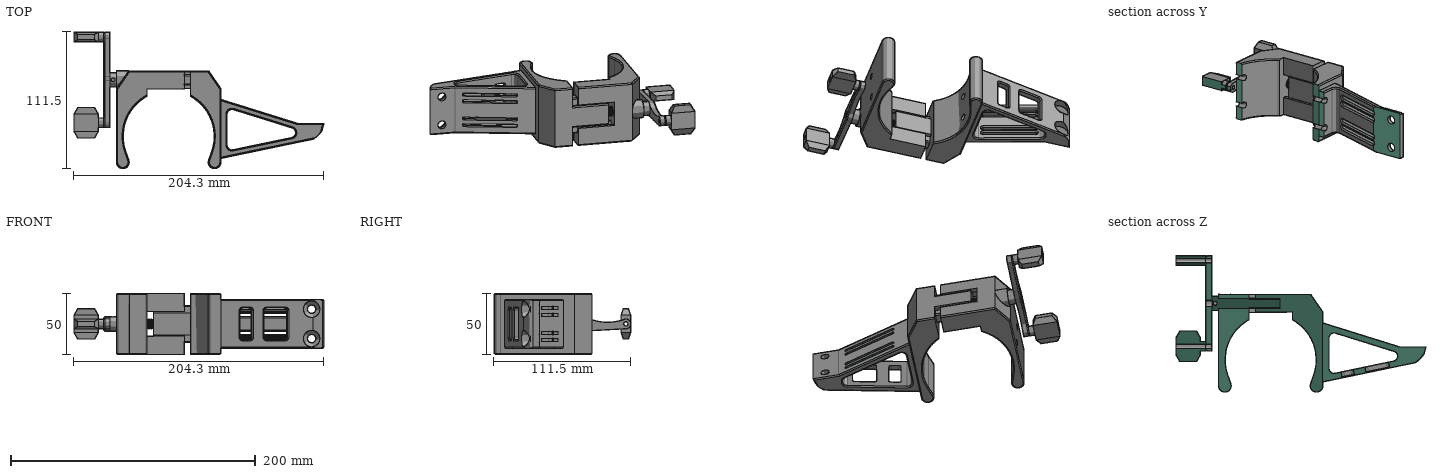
import cadquery as cq
import math


chamfer = 1.0
edge_margin = 0.1

jaw_height = 50.0
jaw_outer_x = 42.7
jaw_inner_x = 17.6
jaw_top_y = 53.5
shoulder_y = 38.9
top_corner_x = 32.7
tube_radius = 37.1
tip_radius = 5.25
lip_width = 0.9
lip_height = 0.8
tip_bottom_y = -26.46
bolt_hole_d = 5.0
bolt_hole_y = 9.3
bolt_hole_z = 12.0

fork_end_x = 12.8
fork_bottom_y = 38.5
fork_slot_height = 20.0
tongue_height = 18.0
tongue_end_x = -12.6
rail_width_z = 30.4
rail_thickness = 8.5

screw_y = 46.04
boss_d = 15.0
boss_depth = 10.0
shaft_d = 8.0
thread_core_d = 6.8
thread_pitch = 1.25
thread_turns = 20
collar_d = 12.0
collar_length = 5.4
pin_hole_d = 3.0
hub_hole_d = 5.0
drill_point_angle = 118.0
drill_point_depth = hub_hole_d / 2 / math.tan(math.radians(drill_point_angle / 2))

crank_thickness = 5.0
crank_reach = 35.0
hub_radius = 6.0
crank_end_radius = 4.0
hollow_radius = 40.0

knob_length = 20.0
knob_width = 25.0
knob_flat_width = 14.2
knob_thickness = 8.0
knob_end_length = 13.8
knob_end_thickness = 4.3
knob_neck_d = 8.0
knob_neck_length = 4.3
knob_hole_d = 3.3

bracket_height = 40.0
bracket_root_top_y = 30.1
bracket_root_bottom_y = -18.1
ledge_start_x = 105.5
ledge_y = 10.5
bracket_end_x = 126.88
end_corner_x = 123.7
end_corner_y = -1.25
end_round_start_x = 118.0
end_round_top_y = 5.0
end_round_bulge = 0.6
wall = 5.0
window_radius = 4.0
countersink_x = 116.7
countersink_z = 12.0
countersink_hole_d = 6.6
countersink_d = 13.4
countersink_rim_y = 3.0
strap_slot_height = 25.6
strap_slot_radius = 2.0
strap_slots = ((63.4, 10.0), (87.6, 19.6))
narrow_slot_width = 2.5
narrow_slot_flare = 1.15
narrow_slot_levels = (-13.1, -7.4, 7.4, 13.1)
narrow_slot_margin = 1.5

collar_end_x = -jaw_outer_x - collar_length
crank_face_x = collar_end_x - crank_thickness
knob_inner_x = crank_face_x - knob_neck_length
screw_end_x = -jaw_inner_x + thread_turns * thread_pitch


def rod(diameter, x_start, x_end, y, z=0.0):
    """Cylinder along X."""
    plane = cq.Workplane("YZ", origin=(x_start, y, z))
    return plane.circle(diameter / 2).extrude(x_end - x_start)


def block(x_range, y_range, z_range):
    """Box between the given limits."""
    size = [high - low for low, high in (x_range, y_range, z_range)]
    corner = (x_range[0], y_range[0], z_range[0])
    return cq.Workplane("XY").box(*size, centered=False).translate(corner)


def bolt_holes(x_start, x_end):
    """Pair of holes along X, above and below the middle."""
    upper = rod(bolt_hole_d, x_start, x_end, bolt_hole_y, bolt_hole_z)
    return upper.union(rod(bolt_hole_d, x_start, x_end, bolt_hole_y, -bolt_hole_z))


def jaw_plate():
    """Plain right-hand jaw with its half of the bore and a rounded tip."""
    tip_x = jaw_outer_x - tip_radius
    tip_y = tip_bottom_y + tip_radius
    tip_distance = math.hypot(tip_x, tip_y)
    tip_angle = math.atan2(tip_y, tip_x)
    lean = math.acos((tube_radius + tip_radius) / tip_distance)
    tangent_angle = tip_angle + lean
    bore_end = (tube_radius * math.cos(tangent_angle), tube_radius * math.sin(tangent_angle))
    tip_start = (
        tip_x - tip_radius * math.cos(tangent_angle),
        tip_y - tip_radius * math.sin(tangent_angle),
    )
    bore_start_x = jaw_inner_x + lip_width
    bore_start_y = math.sqrt(tube_radius**2 - bore_start_x**2)
    plate = (
        cq.Workplane("XY", origin=(0, 0, -jaw_height / 2))
        .moveTo(jaw_outer_x, tip_y)
        .lineTo(jaw_outer_x, shoulder_y)
        .lineTo(top_corner_x, jaw_top_y)
        .lineTo(jaw_inner_x, jaw_top_y)
        .lineTo(jaw_inner_x, bore_start_y + lip_height)
        .lineTo(bore_start_x, bore_start_y)
        .threePointArc((tube_radius, 0), bore_end)
        .lineTo(*tip_start)
        .threePointArc((tip_x, tip_bottom_y), (jaw_outer_x, tip_y))
        .close()
        .extrude(jaw_height)
    )
    return plate


def chamfer_jaw(plate):
    """Bevel the rims of the jaw, except along its inner end."""
    rims = plate.faces("|Z").edges().filter(lambda edge: edge.Center().x > jaw_inner_x + edge_margin)
    return rims.chamfer(chamfer)


def sliding_rail(x_start, x_end):
    """Flat rail with bevelled long edges that keeps the jaws in line."""
    y_range = (screw_y - rail_thickness / 2, screw_y + rail_thickness / 2)
    rail = block((x_start, x_end), y_range, (-rail_width_z / 2, rail_width_z / 2))
    return rail.edges("|X").chamfer(chamfer)


def make_left_jaw():
    jaw = chamfer_jaw(jaw_plate()).mirror("YZ")
    fork = block(
        (-jaw_inner_x, fork_end_x),
        (fork_bottom_y, jaw_top_y),
        (-jaw_height / 2, jaw_height / 2),
    )
    jaw = jaw.union(fork.edges("|X and >Y").chamfer(chamfer))
    jaw = jaw.union(rod(boss_d, -jaw_outer_x, -jaw_outer_x + boss_depth, screw_y))
    slot = block(
        (-jaw_inner_x, fork_end_x),
        (fork_bottom_y, jaw_top_y),
        (-fork_slot_height / 2, fork_slot_height / 2),
    )
    jaw = jaw.cut(slot)
    jaw = jaw.cut(sliding_rail(-jaw_inner_x, fork_end_x))
    jaw = jaw.cut(rod(shaft_d, -jaw_outer_x, -jaw_inner_x, screw_y))
    return jaw.cut(bolt_holes(-jaw_outer_x, 0))


def make_right_jaw():
    jaw = chamfer_jaw(jaw_plate())
    tongue = block(
        (tongue_end_x, jaw_inner_x),
        (shoulder_y, jaw_top_y),
        (-tongue_height / 2, tongue_height / 2),
    )
    jaw = jaw.union(tongue.edges("|X and >Y").chamfer(chamfer))
    jaw = jaw.union(sliding_rail(tongue_end_x, jaw_inner_x))
    jaw = jaw.cut(rod(shaft_d, tongue_end_x, screw_end_x, screw_y))
    return jaw.cut(bolt_holes(0, jaw_outer_x))


def make_screw():
    """Collar, plain shaft and a ringed thread, as one turned profile."""
    core = thread_core_d / 2
    crest = shaft_d / 2
    profile = (
        cq.Workplane("XY", origin=(0, screw_y, 0))
        .moveTo(collar_end_x + drill_point_depth, 0)
        .lineTo(collar_end_x, hub_hole_d / 2)
        .lineTo(collar_end_x, collar_d / 2)
        .lineTo(-jaw_outer_x, collar_d / 2)
        .lineTo(-jaw_outer_x, crest)
        .lineTo(-jaw_inner_x, crest)
    )
    for turn in range(thread_turns):
        turn_start = -jaw_inner_x + turn * thread_pitch
        profile = profile.lineTo(turn_start + thread_pitch / 2, core)
        profile = profile.lineTo(turn_start + thread_pitch, crest)
    profile = profile.lineTo(screw_end_x, 0).close()
    screw = profile.revolve(360, (0, 0, 0), (1, 0, 0))
    pin_hole = (
        cq.Workplane("XY", origin=(collar_end_x + collar_length / 2, screw_y, 0))
        .circle(pin_hole_d / 2)
        .extrude(collar_d)
    )
    return screw.cut(pin_hole)


def make_crank():
    """S-shaped lever: each arm has one straight side and one hollow side."""
    lean = math.asin((hub_radius - crank_end_radius) / crank_reach)
    hub_gap = hollow_radius + hub_radius
    end_gap = hollow_radius + crank_end_radius
    hollow_y = (crank_reach**2 + hub_gap**2 - end_gap**2) / (2 * crank_reach)
    hollow_z = math.sqrt(hub_gap**2 - hollow_y**2)
    end_share = crank_end_radius / end_gap

    def arm_points(sign):
        """Outline points of one arm; the other arm is the same arm turned half round."""
        points = {
            "hollow_start": (hollow_y * hub_radius / hub_gap, hollow_z * hub_radius / hub_gap),
            "hollow_middle": (hollow_y, hollow_z - hollow_radius),
            "hollow_end": (
                crank_reach + (hollow_y - crank_reach) * end_share,
                hollow_z * end_share,
            ),
            "end": (crank_reach + crank_end_radius, 0),
            "straight_start": (
                crank_reach + crank_end_radius * math.sin(lean),
                -crank_end_radius * math.cos(lean),
            ),
            "straight_end": (hub_radius * math.sin(lean), -hub_radius * math.cos(lean)),
            "hub": (0, -hub_radius),
        }
        return {name: (sign * y, sign * z) for name, (y, z) in points.items()}

    first = arm_points(1)
    second = arm_points(-1)
    outline = cq.Workplane("YZ", origin=(crank_face_x, screw_y, 0)).moveTo(*first["hollow_start"])
    for arm, following in ((first, second), (second, first)):
        outline = (
            outline.threePointArc(arm["hollow_middle"], arm["hollow_end"])
            .threePointArc(arm["end"], arm["straight_start"])
            .lineTo(*arm["straight_end"])
            .threePointArc(arm["hub"], following["hollow_start"])
        )
    crank = outline.close().extrude(crank_thickness)
    crank = crank.faces("<X").edges().chamfer(chamfer)
    crank = crank.cut(rod(hub_hole_d, crank_face_x, collar_end_x, screw_y))
    for side in (-1, 1):
        crank = crank.cut(rod(knob_hole_d, crank_face_x, collar_end_x, screw_y + side * crank_reach))
    return crank


def make_knob(side):
    """Flat knob on a round neck; the knob beyond the hub stands upright."""
    knob = cq.Workplane("XY").box(knob_length, knob_flat_width, knob_thickness)
    taper_length = (knob_width - knob_flat_width) / 2
    for direction in (-1, 1):
        plane = cq.Plane(
            origin=(0, direction * knob_flat_width / 2, 0),
            xDir=(1, 0, 0),
            normal=(0, direction, 0),
        )
        taper = (
            cq.Workplane(plane)
            .rect(knob_length, knob_thickness)
            .workplane(offset=taper_length)
            .rect(knob_end_length, knob_end_thickness)
            .loft()
        )
        knob = knob.union(taper)
    neck_start = knob_length / 2
    knob = knob.union(rod(knob_neck_d, neck_start, neck_start + knob_neck_length, 0))
    knob = knob.cut(rod(knob_hole_d, -neck_start, neck_start + knob_neck_length, 0))
    if side > 0:
        knob = knob.rotate((0, 0, 0), (1, 0, 0), 90)
    return knob.translate((knob_inner_x - knob_length / 2, screw_y + side * crank_reach, 0))


upper_slope = (ledge_y - bracket_root_top_y) / (ledge_start_x - jaw_outer_x)
lower_slope = (end_corner_y - bracket_root_bottom_y) / (end_corner_x - jaw_outer_x)
upper_angle = math.atan(upper_slope)
lower_angle = math.atan(lower_slope)


def upper_outer_y(x):
    """Outer face of the upper arm."""
    return bracket_root_top_y + upper_slope * (x - jaw_outer_x)


def lower_outer_y(x):
    """Outer face of the lower arm."""
    return bracket_root_bottom_y + lower_slope * (x - jaw_outer_x)


def upper_inner_y(x):
    """Inner face of the upper arm."""
    return upper_outer_y(x) - wall / math.cos(upper_angle)


def lower_inner_y(x):
    """Inner face of the lower arm."""
    return lower_outer_y(x) + wall / math.cos(lower_angle)


window_root_x = jaw_outer_x + wall
window_root_height = upper_inner_y(window_root_x) - lower_inner_y(window_root_x)
window_apex_x = window_root_x + window_root_height / (lower_slope - upper_slope)


def end_rounding():
    """Material taken off the lower corner of the end, leaving a shallow arc without a bevel."""
    lean = (bracket_end_x - end_corner_x) / (ledge_y - end_corner_y)
    start = (end_round_start_x, lower_outer_y(end_round_start_x))
    end = (end_corner_x + lean * (end_round_top_y - end_corner_y), end_round_top_y)
    chord_x = end[0] - start[0]
    chord_y = end[1] - start[1]
    chord = math.hypot(chord_x, chord_y)
    middle = (
        (start[0] + end[0]) / 2 + end_round_bulge * chord_y / chord,
        (start[1] + end[1]) / 2 - end_round_bulge * chord_x / chord,
    )
    outline = cq.Workplane("XY", origin=(0, 0, -bracket_height / 2)).moveTo(*start)
    outline = outline.threePointArc(middle, end).lineTo(end_corner_x, end_corner_y).close()
    return outline.extrude(bracket_height)


def bracket_body():
    """Triangular frame with rounded window and bevelled rims."""
    body = (
        cq.Workplane("XY", origin=(0, 0, -bracket_height / 2))
        .moveTo(jaw_outer_x, bracket_root_top_y)
        .lineTo(ledge_start_x, ledge_y)
        .lineTo(bracket_end_x, ledge_y)
        .lineTo(end_corner_x, end_corner_y)
        .lineTo(jaw_outer_x, bracket_root_bottom_y)
        .close()
        .extrude(bracket_height)
    )
    window = (
        cq.Workplane("XY", origin=(0, 0, -bracket_height / 2))
        .moveTo(window_root_x, upper_inner_y(window_root_x))
        .lineTo(window_apex_x, upper_inner_y(window_apex_x))
        .lineTo(window_root_x, lower_inner_y(window_root_x))
        .close()
        .extrude(bracket_height)
        .edges("|Z")
        .fillet(window_radius)
    )
    body = body.cut(window)
    rims = body.faces("|Z").edges().filter(lambda edge: edge.Center().x > jaw_outer_x + edge_margin)
    return rims.chamfer(chamfer).cut(end_rounding())


def strap_slot(middle_x, length):
    """Rounded rectangular slot square to the lower arm, flared at its outer face."""
    plane = cq.Plane(
        origin=(middle_x, lower_outer_y(middle_x), 0),
        xDir=(math.cos(lower_angle), math.sin(lower_angle), 0),
        normal=(math.sin(lower_angle), -math.cos(lower_angle), 0),
    )
    opening = (
        cq.Workplane(plane)
        .rect(length, strap_slot_height)
        .extrude(-2 * wall)
        .edges(cq.selectors.ParallelDirSelector(plane.zDir))
        .fillet(strap_slot_radius)
    )
    flare = (
        cq.Workplane(plane)
        .workplane(offset=chamfer)
        .rect(length + 2 * chamfer, strap_slot_height + 2 * chamfer)
        .extrude(-2 * chamfer)
        .edges(cq.selectors.ParallelDirSelector(plane.zDir))
        .fillet(strap_slot_radius + chamfer)
        .faces(cq.selectors.DirectionMinMaxSelector(plane.zDir, False))
        .chamfer(chamfer)
    )
    return opening.union(flare)


def narrow_slot(level_z):
    """Round-ended slot through the upper arm, flared at its inner face."""
    tangent_gap_root = window_radius / math.tan((math.pi / 2 + upper_angle) / 2)
    tangent_gap_apex = window_radius / math.tan((lower_angle - upper_angle) / 2)
    start_x = window_root_x + (tangent_gap_root + narrow_slot_margin) * math.cos(upper_angle)
    end_x = window_apex_x - (tangent_gap_apex + narrow_slot_margin) * math.cos(upper_angle)
    flared_length = (end_x - start_x) / math.cos(upper_angle)
    flared_width = narrow_slot_width + 2 * narrow_slot_flare
    opening_length = flared_length - 2 * narrow_slot_flare
    middle_x = (start_x + end_x) / 2
    plane = cq.Plane(
        origin=(middle_x, upper_inner_y(middle_x), level_z),
        xDir=(math.cos(upper_angle), math.sin(upper_angle), 0),
        normal=(-math.sin(upper_angle), math.cos(upper_angle), 0),
    )
    opening = cq.Workplane(plane).slot2D(opening_length, narrow_slot_width).extrude(2 * wall)
    flare = (
        cq.Workplane(plane)
        .slot2D(flared_length, flared_width)
        .workplane(offset=narrow_slot_flare)
        .slot2D(opening_length, narrow_slot_width)
        .loft(ruled=True)
    )
    return opening.union(flare)


def countersunk_hole(level_z):
    """Screw hole along Y whose countersink lies sunk below the lower face of the end."""
    face_y = lower_outer_y(countersink_x)
    sink_depth = (countersink_d - countersink_hole_d) / 2
    axis_start = (countersink_x, 0, level_z)
    profile = (
        cq.Workplane("XY", origin=axis_start)
        .moveTo(0, face_y - wall)
        .lineTo(countersink_d / 2, face_y - wall)
        .lineTo(countersink_d / 2, countersink_rim_y)
        .lineTo(countersink_hole_d / 2, countersink_rim_y + sink_depth)
        .lineTo(countersink_hole_d / 2, ledge_y)
        .lineTo(0, ledge_y)
        .close()
    )
    return profile.revolve(360, (0, 0, 0), (0, 1, 0))


def make_bracket():
    bracket = bracket_body()
    for middle_x, length in strap_slots:
        bracket = bracket.cut(strap_slot(middle_x, length))
    for level_z in narrow_slot_levels:
        bracket = bracket.cut(narrow_slot(level_z))
    for level_z in (-countersink_z, countersink_z):
        bracket = bracket.cut(countersunk_hole(level_z))
    return bracket.cut(bolt_holes(jaw_outer_x, window_root_x))


left_jaw = make_left_jaw()
right_jaw = make_right_jaw()
screw = make_screw()
crank = make_crank()
knobs = [make_knob(side) for side in (-1, 1)]
bracket = make_bracket()

bodies = [left_jaw, right_jaw, screw, crank, *knobs, bracket]
result = cq.Compound.makeCompound([body.val() for body in bodies])